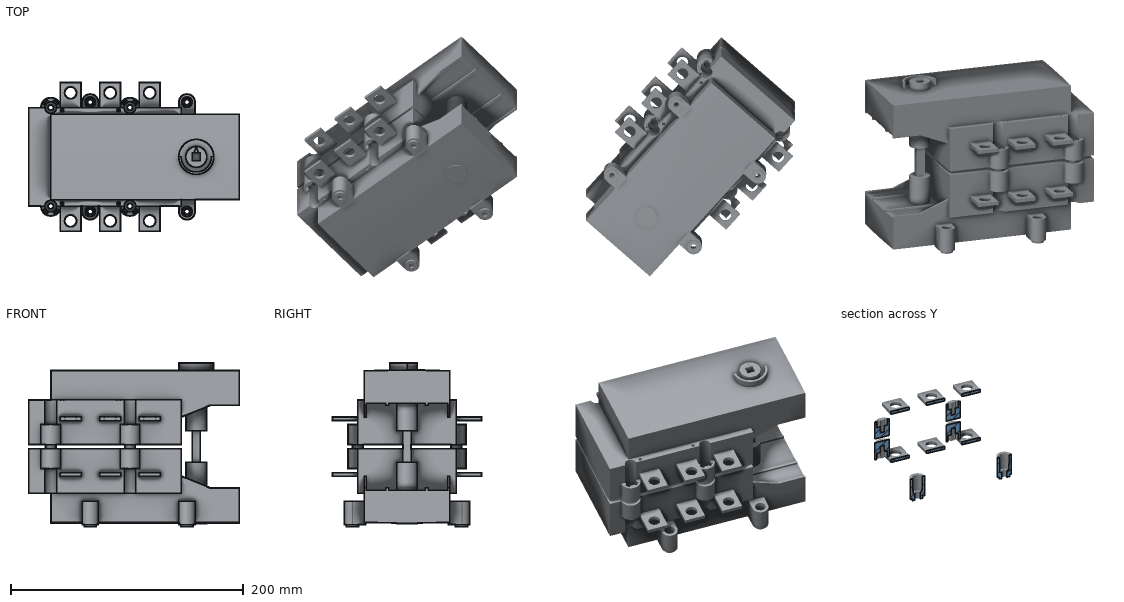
import cadquery as cq


BLOCK_LENGTH = 131.2
BLOCK_WIDTH = 84.7
STACK_GAP = 3.5
BLOCK_BOTTOM = STACK_GAP / 2
BLOCK_TOP = 40.2
BLOCK_EDGE_Y = BLOCK_WIDTH / 2

POLE_COUNT = 3
POLE_PITCH = 34.0
FIRST_POLE_X = 36.0
TERMINAL_SPAN = 128.0
TERMINAL_WIDTH = 18.0
TERMINAL_THICKNESS = 3.2
TERMINAL_Z = 24.0
TERMINAL_HOLE_DIAMETER = 10.0
TERMINAL_HOLE_Y = 55.0

JOINT_X = (FIRST_POLE_X - POLE_PITCH / 2, FIRST_POLE_X + 1.5 * POLE_PITCH)
BOSS_DIAMETER = 17.0
BOSS_TOP = 19.0
BOLT_WELL_DIAMETER = 10.0
BOLT_WELL_FLOOR = 7.0
BOLT_HOLE_DIAMETER = 4.5
KEY_SLOT_LENGTH = 13.5
KEY_SLOT_WIDTH = 4.2
KEY_SLOT_DEPTH = 6.0
KEY_SLOT_ANGLES = (-45, 45)
SPACER_DIAMETER = 9.31

PIN_HOLE_MOUTH = 2.8
PIN_HOLE_FLOOR = 1.8
PIN_HOLE_DEPTH = 5.0
PIN_HOLE_OFFSET_X = 9.75
PIN_HOLE_INSET_Y = 2.4

HOUSING_START = 19.0
HOUSING_END = 181.0
HOUSING_WIDTH = 73.5
HOUSING_EDGE_TOP = 65.2
HOUSING_CROWN_TOP = 65.7
NECK_Z = 25.4
OVERHANG_Z = 35.5
OVERHANG_START = 156.3
RECESS_DEPTH = 1.8
RIM_WIDTH = 1.8
RIB_WIDTH = 2.3
RIB_Y = 16.9

SHAFT_X = 144.0
HUB_DIAMETER = 18.0
HUB_INNER_Z = 13.4
LOWER_HUB_END = 66.4
ROD_SIDE = 7.0
SOCKET_DEPTH = 10.0

KNOB_TOP = 72.0
COLLAR_DIAMETER = 30.0
COLLAR_WALL = 2.0
COLLAR_DISC_TOP = 65.8
ARROW_TIP_Y = 8.4
ARROW_WIDTH = 4.0
ARROW_DEPTH = 0.5

FOOT_X = (52.9, 136.0)
FOOT_Y = 47.0
FOOT_WIDTH = 14.0
FOOT_INNER_Y = 35.5
FOOT_TOP = -46.8
FOOT_BOTTOM = -67.0
PAD_DIAMETER = 10.72
PAD_BOTTOM = -69.0
FOOT_WELL_MOUTH = 9.0
FOOT_WELL_BASE = 8.0
FOOT_WELL_FLOOR = -62.0
FOOT_HOLE_DIAMETER = 4.5

SIDES = (-1, 1)


def cylinder(x, y, diameter, z_low, z_high):
    """Upright cylinder between two heights."""
    return cq.Workplane("XY", origin=(x, y, z_low)).circle(diameter / 2).extrude(z_high - z_low)


def tapered_bore(x, y, mouth, base, z_low, z_high):
    """Upright cone frustum, widest at its top."""
    floor = cq.Workplane("XY", origin=(x, y, z_low)).circle(base / 2)
    return floor.workplane(offset=z_high - z_low).circle(mouth / 2).loft()


def box(x_range, y_range, z_range):
    """Box given by its limits along each axis."""
    size = [high - low for low, high in (x_range, y_range, z_range)]
    corner = (x_range[0], y_range[0], z_range[0])
    return cq.Workplane("XY").box(*size, centered=False).translate(corner)


def square_bar(z_low, z_high):
    """Square bar on the shaft axis."""
    plane = cq.Workplane("XY", origin=(SHAFT_X, 0, z_low))
    return plane.rect(ROD_SIDE, ROD_SIDE).extrude(z_high - z_low)


def make_housing():
    """Upper housing: crowned section trimmed by the sloped neck, with a rimmed inner face."""
    half_width = HOUSING_WIDTH / 2
    housing = (
        cq.Workplane("YZ", origin=(HOUSING_START, 0, 0))
        .moveTo(-half_width, NECK_Z)
        .lineTo(half_width, NECK_Z)
        .lineTo(half_width, HOUSING_EDGE_TOP)
        .threePointArc((0, HOUSING_CROWN_TOP), (-half_width, HOUSING_EDGE_TOP))
        .close()
        .extrude(HOUSING_END - HOUSING_START)
    )
    neck_cut = (
        cq.Workplane("XZ")
        .polyline(
            [
                (BLOCK_LENGTH, NECK_Z),
                (OVERHANG_START, OVERHANG_Z),
                (HOUSING_END, OVERHANG_Z),
                (HOUSING_END, NECK_Z),
            ]
        )
        .close()
        .extrude(half_width, both=True)
    )
    housing = housing.cut(neck_cut)
    return housing.cut(make_inner_recess())


def make_inner_recess():
    """Flat-floored recess in the inner face, leaving the side rims and two ribs."""
    rim_y = HOUSING_WIDTH / 2 - RIM_WIDTH
    floor_z = OVERHANG_Z + RECESS_DEPTH
    x_range = (BLOCK_LENGTH, HOUSING_END)
    recess = box(x_range, (-rim_y, rim_y), (NECK_Z, floor_z))
    for side in SIDES:
        rib_y = side * RIB_Y
        rib_range = (rib_y - RIB_WIDTH / 2, rib_y + RIB_WIDTH / 2)
        recess = recess.cut(box(x_range, rib_range, (OVERHANG_Z, floor_z)))
    return recess


def make_terminals():
    """Flat terminal bars through the block, each with a hole at both ends."""
    bars = cq.Workplane("XY")
    z_low = TERMINAL_Z - TERMINAL_THICKNESS / 2
    for pole in range(POLE_COUNT):
        x = FIRST_POLE_X + pole * POLE_PITCH
        bar = (
            cq.Workplane("XY", origin=(x, 0, z_low))
            .rect(TERMINAL_WIDTH, TERMINAL_SPAN)
            .extrude(TERMINAL_THICKNESS)
        )
        for side in SIDES:
            hole = cylinder(
                x, side * TERMINAL_HOLE_Y, TERMINAL_HOLE_DIAMETER, z_low, z_low + TERMINAL_THICKNESS
            )
            bar = bar.cut(hole)
        bars = bars.add(bar)
    return bars.combine()


def make_key_slots(x, y):
    """Crossed diagonal key slots sunk into a boss."""
    slots = cq.Workplane("XY")
    for angle in KEY_SLOT_ANGLES:
        slot = (
            cq.Workplane("XY")
            .rect(KEY_SLOT_LENGTH, KEY_SLOT_WIDTH)
            .extrude(KEY_SLOT_DEPTH)
            .rotate((0, 0, 0), (0, 0, 1), angle)
            .translate((x, y, BOSS_TOP - KEY_SLOT_DEPTH))
        )
        slots = slots.add(slot)
    return slots.combine()


def make_boss(x, y):
    """Joint boss with key slots."""
    boss = cylinder(x, y, BOSS_DIAMETER, BLOCK_BOTTOM, BOSS_TOP)
    return boss.cut(make_key_slots(x, y))


def make_contact_block():
    """Contact block with its joint bosses, bolt wells and pin holes."""
    block = box((0, BLOCK_LENGTH), (-BLOCK_EDGE_Y, BLOCK_EDGE_Y), (BLOCK_BOTTOM, BLOCK_TOP))
    joints = ((JOINT_X[0], PIN_HOLE_OFFSET_X), (JOINT_X[1], -PIN_HOLE_OFFSET_X))
    for side in SIDES:
        y = side * BLOCK_EDGE_Y
        pin_y = side * (BLOCK_EDGE_Y - PIN_HOLE_INSET_Y)
        for x, pin_offset in joints:
            block = block.union(make_boss(x, y))
            block = block.cut(cylinder(x, y, BOLT_WELL_DIAMETER, BOLT_WELL_FLOOR, BLOCK_TOP))
            pin_hole = tapered_bore(
                x + pin_offset,
                pin_y,
                PIN_HOLE_MOUTH,
                PIN_HOLE_FLOOR,
                BLOCK_TOP - PIN_HOLE_DEPTH,
                BLOCK_TOP,
            )
            block = block.cut(pin_hole)
    return block


def make_unit():
    """One switch unit, standing above Z = 0, without its shaft."""
    return make_contact_block().union(make_housing()).union(make_terminals())


def make_knob():
    """Half collar on a thin disc around the shaft hub."""
    disc = cylinder(SHAFT_X, 0, COLLAR_DIAMETER, HOUSING_EDGE_TOP, COLLAR_DISC_TOP)
    bore_diameter = COLLAR_DIAMETER - 2 * COLLAR_WALL
    collar = cylinder(SHAFT_X, 0, COLLAR_DIAMETER, HOUSING_EDGE_TOP, KNOB_TOP)
    collar = collar.cut(cylinder(SHAFT_X, 0, bore_diameter, HOUSING_EDGE_TOP, KNOB_TOP))
    radius = COLLAR_DIAMETER / 2
    open_half = box(
        (SHAFT_X - radius, SHAFT_X + radius), (0, radius), (HOUSING_EDGE_TOP, KNOB_TOP)
    )
    return disc.union(collar.cut(open_half))


def make_arrow():
    """Triangular pointer sunk into the hub between the socket and the rim."""
    base_y = ROD_SIDE / 2
    return (
        cq.Workplane("XY", origin=(SHAFT_X, 0, KNOB_TOP - ARROW_DEPTH))
        .polyline([(-ARROW_WIDTH / 2, base_y), (ARROW_WIDTH / 2, base_y), (0, ARROW_TIP_Y)])
        .close()
        .extrude(ARROW_DEPTH)
    )


def make_foot(x, side):
    """Round-ended mounting foot with a screw well and a round pad underneath."""
    y = side * FOOT_Y
    inner_y = side * FOOT_INNER_Y
    web = box(
        (x - FOOT_WIDTH / 2, x + FOOT_WIDTH / 2),
        (min(y, inner_y), max(y, inner_y)),
        (FOOT_BOTTOM, FOOT_TOP),
    )
    foot = web.union(cylinder(x, y, FOOT_WIDTH, FOOT_BOTTOM, FOOT_TOP))
    return foot.union(cylinder(x, y, PAD_DIAMETER, PAD_BOTTOM, FOOT_BOTTOM))


upper_unit = make_unit()
result = upper_unit.union(upper_unit.mirror("XY"))

for joint_x in JOINT_X:
    for side in SIDES:
        joint_y = side * BLOCK_EDGE_Y
        result = result.union(
            cylinder(joint_x, joint_y, SPACER_DIAMETER, -BLOCK_BOTTOM, BLOCK_BOTTOM)
        )
        result = result.cut(
            cylinder(joint_x, joint_y, BOLT_HOLE_DIAMETER, -BOLT_WELL_FLOOR, BOLT_WELL_FLOOR)
        )

result = result.union(make_knob())
result = result.union(cylinder(SHAFT_X, 0, HUB_DIAMETER, HUB_INNER_Z, KNOB_TOP))
result = result.union(cylinder(SHAFT_X, 0, HUB_DIAMETER, -LOWER_HUB_END, -HUB_INNER_Z))
result = result.union(square_bar(-HUB_INNER_Z, HUB_INNER_Z))
result = result.cut(square_bar(KNOB_TOP - SOCKET_DEPTH, KNOB_TOP))
result = result.cut(make_arrow())

for foot_x in FOOT_X:
    for side in SIDES:
        foot_y = side * FOOT_Y
        result = result.union(make_foot(foot_x, side))
        result = result.cut(
            tapered_bore(
                foot_x, foot_y, FOOT_WELL_MOUTH, FOOT_WELL_BASE, FOOT_WELL_FLOOR, FOOT_TOP
            )
        )
        result = result.cut(
            cylinder(foot_x, foot_y, FOOT_HOLE_DIAMETER, PAD_BOTTOM, FOOT_WELL_FLOOR)
        )